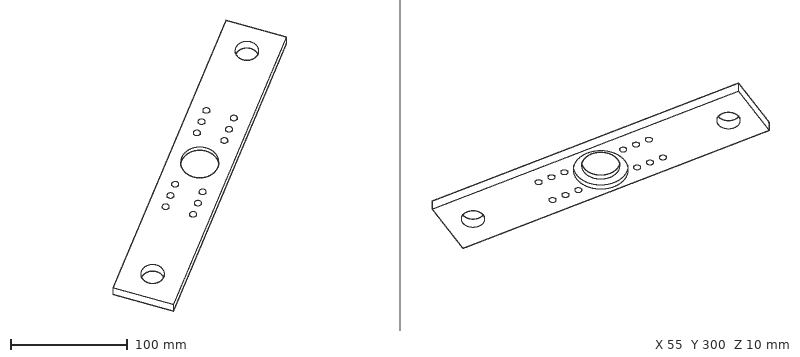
import cadquery as cq

width = 55.0
length = 300.0
thickness = 10.0

center_diameter = 32.7
recess_diameter = 47.0
recess_depth = thickness / 2
end_diameter = 20.0
end_offset = 125.0

small_diameter = 6.0
column_spacing = 25.0
row_pitch = 12.5
first_row_offset = 28.8
rows_per_side = 3

small_hole_points = []
for side_y in (-1, 1):
    for side_x in (-1, 1):
        for row in range(rows_per_side):
            y = side_y * (first_row_offset + row * row_pitch)
            small_hole_points.append((side_x * column_spacing / 2, y))


def drill(plate, points, diameter):
    """Drill through holes at points measured from the bar center."""
    return plate.faces(">Z").workplane(origin=(0, 0, 0)).pushPoints(points).hole(diameter)


result = cq.Workplane("XY").box(width, length, thickness)
result = drill(result, [(0, 0)], center_diameter)
result = drill(result, [(0, -end_offset), (0, end_offset)], end_diameter)
result = drill(result, small_hole_points, small_diameter)

recess = (
    cq.Workplane("XY", origin=(0, 0, -thickness / 2))
    .circle(recess_diameter / 2)
    .extrude(recess_depth)
)
result = result.cut(recess)